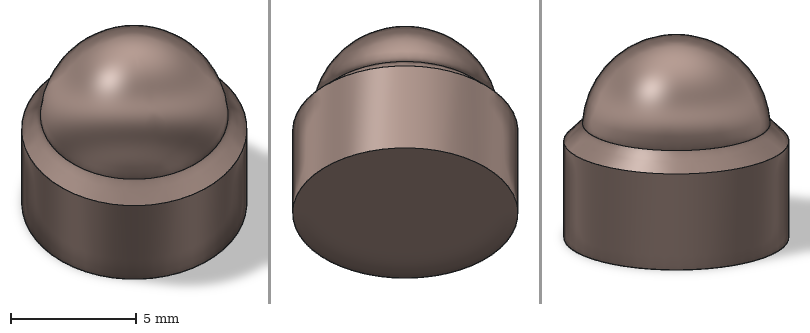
import cadquery as cq

outer_diameter = 9.0
total_height = 8.3
skirt_height = 4.01
shoulder_size = 0.75

outer_radius = outer_diameter / 2
dome_base_radius = outer_radius - shoulder_size
dome_base_z = skirt_height + shoulder_size

dome_rise = total_height - dome_base_z
dome_radius = (dome_base_radius**2 + dome_rise**2) / (2 * dome_rise)

skirt = cq.Workplane("XY").circle(outer_radius).extrude(dome_base_z)
skirt = skirt.faces(">Z").edges().chamfer(shoulder_size)

sphere_center_z = total_height - dome_radius
sphere = cq.Workplane("XY").sphere(dome_radius).translate((0, 0, sphere_center_z))
above_shoulder = (
    cq.Workplane("XY")
    .workplane(offset=dome_base_z)
    .circle(outer_radius)
    .extrude(dome_rise)
)
dome = sphere.intersect(above_shoulder)

result = skirt.union(dome)